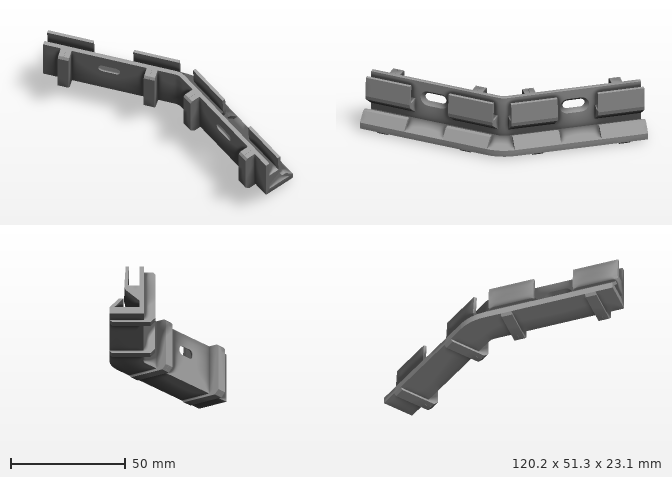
import cadquery as cq
import math

overall_length = 120.2
bend_angle = 36.2
clip_length = 20.9
plate_length = 18.2
arm_length = 2 * clip_length + plate_length

bend_sine = math.sin(math.radians(bend_angle))
bend_cosine = math.cos(math.radians(bend_angle))
rear_radius = (overall_length - arm_length * (1 + bend_cosine)) / bend_sine

depth = 14.9
height = 22.0
wall_thickness = 1.9
floor_thickness = 3.0
front_radius = rear_radius - depth
wall_rear_radius = front_radius + wall_thickness

lip_top = 7.0
lip_width = 2.0
lip_reach = lip_top - floor_thickness

prong_tip_rear = 7.0
prong_tip_front = 8.4
knee_rear = 6.4
slot_rear = 7.9
slot_floor = 13.0
haunch_rear = 6.9
haunch_top = 11.1
haunch_foot = 6.0

rib_width = 4.9
rib_reach = 5.0
foot_height = 1.1
rib_top_chamfer = 1.0
rib_bottom_chamfer = 2.0
slit_width = 0.06

screw_slot_length = 10.0
screw_slot_width = 4.1
screw_slot_height = 14.1
countersink_width = 7.2
countersink_depth = (countersink_width - screw_slot_width) / 2


def along_x(section, start, length):
    """Extrude a list of (y, z) points along X."""
    return cq.Workplane("YZ", origin=(start, 0, 0)).polyline(section).close().extrude(length)


def wall_and_floor_section():
    return [
        (front_radius, 0),
        (rear_radius, 0),
        (rear_radius, floor_thickness),
        (wall_rear_radius, floor_thickness),
        (wall_rear_radius, height),
        (front_radius, height),
    ]


def clip_section():
    return [
        (front_radius, 0),
        (rear_radius, 0),
        (rear_radius, floor_thickness),
        (rear_radius - lip_reach, lip_top),
        (rear_radius - lip_reach - lip_width, lip_top),
        (rear_radius - lip_width, floor_thickness),
        (wall_rear_radius, floor_thickness),
        (wall_rear_radius, haunch_foot),
        (rear_radius - haunch_rear, haunch_top),
        (rear_radius - knee_rear, slot_floor),
        (rear_radius - prong_tip_rear, height),
        (rear_radius - prong_tip_front, height),
        (rear_radius - slot_rear, slot_floor),
        (wall_rear_radius, slot_floor),
        (wall_rear_radius, height),
        (front_radius, height),
    ]


def rib_section():
    """Rib in front of the wall and foot under the floor, joined into one L.

    The rear end of the foot slopes up at 45 degrees to the rear edge of the floor.
    """
    tip = front_radius - rib_reach
    return [
        (front_radius, height),
        (tip + rib_top_chamfer, height),
        (tip, height - rib_top_chamfer),
        (tip, rib_bottom_chamfer - foot_height),
        (tip + rib_bottom_chamfer, -foot_height),
        (rear_radius - foot_height, -foot_height),
        (rear_radius, 0),
        (front_radius, 0),
    ]


def make_clip(start):
    middle = start + clip_length / 2
    clip = along_x(clip_section(), start, clip_length)
    rib = along_x(rib_section(), middle - rib_width / 2, rib_width)
    slit = (
        cq.Workplane("XY", origin=(middle, front_radius - rib_reach, -foot_height))
        .box(slit_width, rib_reach, height + foot_height, centered=(True, False, False))
    )
    return clip.union(rib).cut(slit)


def make_plate(start):
    plate = along_x(wall_and_floor_section(), start, plate_length)
    middle = start + plate_length / 2
    screw_slot = (
        cq.Workplane("XZ", origin=(middle, wall_rear_radius, screw_slot_height))
        .slot2D(screw_slot_length, screw_slot_width)
        .extrude(wall_thickness)
    )
    widening = countersink_width - screw_slot_width
    countersink = (
        cq.Workplane("XZ", origin=(middle, wall_rear_radius, screw_slot_height))
        .slot2D(screw_slot_length + widening, countersink_width)
        .extrude(countersink_depth, taper=45)
    )
    return plate.cut(screw_slot).cut(countersink)


def make_corner():
    """The wall-and-floor section swept around the bend axis, which is the Z axis."""
    return (
        cq.Workplane("YZ")
        .polyline(wall_and_floor_section())
        .close()
        .revolve(bend_angle, (0, 0, 0), (0, 1, 0))
    )


corner = make_corner()
clips = []
plates = []
for arm_start, turn in [(0, 0), (-arm_length, bend_angle)]:
    for clip_start in (arm_start, arm_start + clip_length + plate_length):
        clips.append(make_clip(clip_start).rotate((0, 0, 0), (0, 0, 1), turn))
    plates.append(make_plate(arm_start + clip_length).rotate((0, 0, 0), (0, 0, 1), turn))

result = cq.Compound.makeCompound(
    [corner.val()] + [clip.val() for clip in clips] + [plate.val() for plate in plates]
)